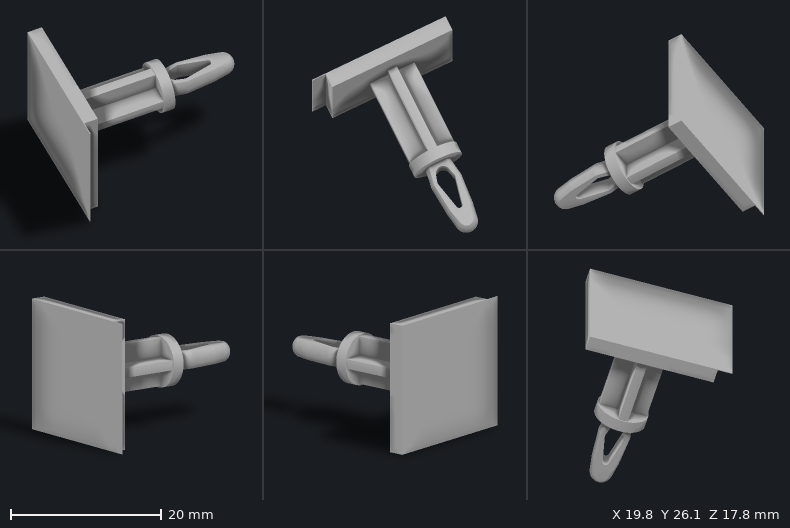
import cadquery as cq

base_side = 17.8
base_thickness = 2.08
liner_width = 19.8
liner_thickness = 0.1

collar_start = 14.33
collar_end = 15.95
collar_radius = 3.55
post_radius = 3.33
rib_thickness = 1.3

pin_root_radius = 1.82
pin_widest_radius = 2.21
pin_widest_y = 18.47
pin_taper_radius = 1.9
pin_taper_y = 22.59
pin_shoulder_radius = 1.54
pin_tip_y = 26.05
pin_nose_radius = 1.55
pin_thickness = 2.5

window_bottom_y = 16.55
window_lower_half_width = 0.95
window_lower_y = 17.15
window_half_width = 1.3
window_upper_half_width = 0.42
window_upper_y = 22.48
window_top_y = 22.77


def box_along_y(width, height, start, end):
    """Box centred on X = Z = 0, running from start to end along Y."""
    return cq.Workplane("XY").box(width, end - start, height).translate((0, (start + end) / 2, 0))


def cylinder_along_y(radius, start, end):
    """Cylinder on the Y axis, running from start to end."""
    return cq.Workplane("XZ", origin=(0, start, 0)).circle(radius).extrude(start - end)


def make_base():
    """Square pad with the release liner overhanging its +X edge."""
    pad = box_along_y(base_side, base_side, 0, base_thickness)
    liner = box_along_y(liner_width, base_side, 0, liner_thickness)
    return pad.union(liner.translate(((liner_width - base_side) / 2, 0, 0)))


def make_post():
    """Two crossed ribs with ends rounded to a common cylinder."""
    diameter = 2 * post_radius
    ribs = box_along_y(diameter, rib_thickness, base_thickness, collar_start)
    ribs = ribs.union(box_along_y(rib_thickness, diameter, base_thickness, collar_start))
    return ribs.intersect(cylinder_along_y(post_radius, base_thickness, collar_start))


def make_window():
    """Teardrop-shaped opening through the pin along Z."""
    return (
        cq.Workplane("XY")
        .moveTo(window_lower_half_width, window_lower_y)
        .lineTo(window_half_width, pin_widest_y)
        .lineTo(window_upper_half_width, window_upper_y)
        .threePointArc((0, window_top_y), (-window_upper_half_width, window_upper_y))
        .lineTo(-window_half_width, pin_widest_y)
        .lineTo(-window_lower_half_width, window_lower_y)
        .threePointArc((0, window_bottom_y), (window_lower_half_width, window_lower_y))
        .close()
        .extrude(pin_thickness, both=True)
    )


def make_pin():
    """Turned pin with a spherical nose, flattened on both Z sides."""
    nose_centre_y = pin_tip_y - pin_nose_radius
    shoulder_y = nose_centre_y + (pin_nose_radius**2 - pin_shoulder_radius**2) ** 0.5
    nose_mid_offset = pin_nose_radius * 0.5**0.5
    turned = (
        cq.Workplane("XY")
        .moveTo(0, collar_end)
        .lineTo(pin_root_radius, collar_end)
        .lineTo(pin_widest_radius, pin_widest_y)
        .lineTo(pin_taper_radius, pin_taper_y)
        .lineTo(pin_shoulder_radius, shoulder_y)
        .threePointArc((nose_mid_offset, nose_centre_y + nose_mid_offset), (0, pin_tip_y))
        .close()
        .revolve(360, (0, 0, 0), (0, 1, 0))
    )
    flats = box_along_y(2 * pin_widest_radius, pin_thickness, collar_end, pin_tip_y)
    return turned.intersect(flats).cut(make_window())


collar = cylinder_along_y(collar_radius, collar_start, collar_end)
result = make_base().union(make_post()).union(collar).union(make_pin())